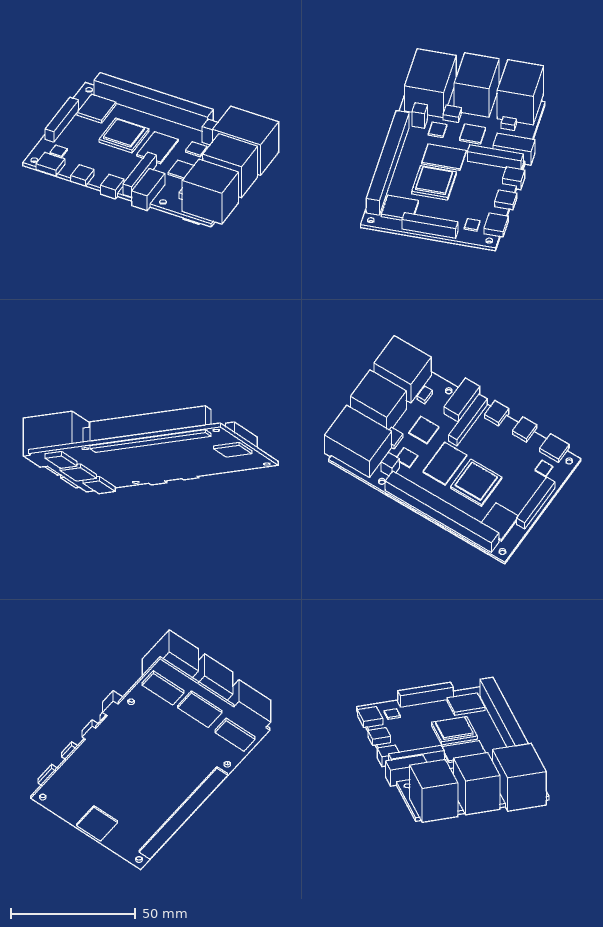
import cadquery as cq


BOARD_LENGTH = 85.0
BOARD_WIDTH = 56.1
BOARD_THICKNESS = 1.8
HOLE_DIAMETER = 2.7
HOLE_INSET = 3.5
HOLE_SPACING_X = 58.0
HOLE_SPACING_Y = 49.0

CHIP_HEIGHT = 0.9
THICK_CHIP_HEIGHT = 1.5
LOW_PART_HEIGHT = 3.0
RIBBON_HEIGHT = 5.5
HEADER_HEIGHT = 8.4

HEADER_LENGTH = 51.2
HEADER_WIDTH = 5.5
HEADER_X = 6.9
HEADER_Y = 49.8
HEADER_TAIL_DEPTH = 1.25

POWER_HEADER_SIDE = 5.25
POWER_HEADER_X = 58.9
POWER_HEADER_Y = 43.7

PROCESSOR_SIDE = 14.95
PROCESSOR_X = 21.7
PROCESSOR_Y = 25.1
LID_SIDE = 12.3
LID_HEIGHT = 0.9

RIBBON_LENGTH = 22.25
RIBBON_WIDTH = 4.0
DISPLAY_RIBBON_X = 1.5
DISPLAY_RIBBON_Y = 16.9
CAMERA_RIBBON_X = 44.95
CAMERA_RIBBON_Y = 0.4

VIDEO_LENGTH = 6.8
VIDEO_WIDTH = 7.65
VIDEO_OVERHANG = 1.8
LEFT_VIDEO_X = 22.5
VIDEO_SPACING = 13.4
AUDIO_LENGTH = 7.0
AUDIO_WIDTH = 15.75
AUDIO_X = 50.4
AUDIO_OVERHANG = 2.5
AUDIO_HEIGHT = 6.05
POWER_SOCKET_LENGTH = 9.1
POWER_SOCKET_WIDTH = 8.0
POWER_SOCKET_X = 6.7
POWER_SOCKET_OVERHANG = 1.5

NETWORK_X = 66.6
NETWORK_Y = 37.65
NETWORK_LENGTH = 21.7
NETWORK_WIDTH = 16.3
NETWORK_HEIGHT = 14.4
USB_X = 71.1
USB_HEIGHT = 16.4
FRONT_USB_Y = 1.6
FRONT_USB_LENGTH = 17.9
FRONT_USB_WIDTH = 14.95
REAR_USB_Y = 19.9
REAR_USB_LENGTH = 17.5
REAR_USB_WIDTH = 14.4

TAIL_X = 71.6
TAIL_LENGTH = 7.3
TAIL_DEPTH = 2.0
NETWORK_TAIL_Y = 38.45
NETWORK_TAIL_WIDTH = 14.8
FRONT_USB_TAIL_Y = 1.3
FRONT_USB_TAIL_WIDTH = 15.6
REAR_USB_TAIL_Y = 19.4
REAR_USB_TAIL_WIDTH = 15.6
REAR_USB_TAIL_LENGTH = 9.1
REAR_USB_TAIL_DEPTH = 1.6

REGULATOR_SIDE = 5.25
REGULATOR_X = 7.4
REGULATOR_Y = 9.5

CARD_X = 1.6
CARD_Y = 22.2
CARD_LENGTH = 11.3
CARD_WIDTH = 12.2
CARD_DEPTH = 1.25


def block(x, y, bottom, length, width, height):
    """Box with its low corner at (x, y, bottom)."""
    return cq.Workplane("XY").box(length, width, height, centered=False).translate((x, y, bottom))


def on_top(x, y, length, width, height):
    """Box standing on the board's upper face."""
    return block(x, y, BOARD_THICKNESS, length, width, height)


def through_edge(x, y, length, width, height):
    """Box reaching from the board's underside to the given height above its upper face."""
    return block(x, y, 0, length, width, BOARD_THICKNESS + height)


def underneath(x, y, length, width, depth):
    """Box hanging from the board's underside."""
    return block(x, y, -depth, length, width, depth)


def video_socket_x(index):
    return LEFT_VIDEO_X + index * VIDEO_SPACING


def bare_board():
    hole_centre = (HOLE_INSET + HOLE_SPACING_X / 2, HOLE_INSET + HOLE_SPACING_Y / 2)
    holes = (
        cq.Workplane("XY")
        .center(*hole_centre)
        .rarray(HOLE_SPACING_X, HOLE_SPACING_Y, 2, 2)
        .circle(HOLE_DIAMETER / 2)
        .extrude(BOARD_THICKNESS)
    )
    return block(0, 0, 0, BOARD_LENGTH, BOARD_WIDTH, BOARD_THICKNESS).cut(holes)


def headers():
    return [
        on_top(HEADER_X, HEADER_Y, HEADER_LENGTH, HEADER_WIDTH, HEADER_HEIGHT),
        underneath(HEADER_X, HEADER_Y, HEADER_LENGTH, HEADER_WIDTH, HEADER_TAIL_DEPTH),
        on_top(POWER_HEADER_X, POWER_HEADER_Y, POWER_HEADER_SIDE, POWER_HEADER_SIDE, HEADER_HEIGHT),
    ]


def processor():
    lid_inset = (PROCESSOR_SIDE - LID_SIDE) / 2
    package = on_top(PROCESSOR_X, PROCESSOR_Y, PROCESSOR_SIDE, PROCESSOR_SIDE, THICK_CHIP_HEIGHT)
    lid = on_top(
        PROCESSOR_X + lid_inset,
        PROCESSOR_Y + lid_inset,
        LID_SIDE,
        LID_SIDE,
        THICK_CHIP_HEIGHT + LID_HEIGHT,
    )
    return [package, lid]


def chips():
    radio = on_top(x=6.3, y=36.1, length=11.0, width=12.8, height=THICK_CHIP_HEIGHT)
    memory = on_top(x=39.2, y=24.2, length=10.8, width=15.9, height=CHIP_HEIGHT)
    network_chip = on_top(x=55.5, y=35.2, length=6.8, width=6.1, height=CHIP_HEIGHT)
    usb_chip = on_top(x=55.5, y=19.7, length=8.8, width=8.8, height=CHIP_HEIGHT)
    transformer = on_top(x=65.3, y=31.2, length=5.6, width=6.4, height=LOW_PART_HEIGHT)
    capacitor = on_top(x=66.2, y=8.3, length=3.7, width=5.5, height=LOW_PART_HEIGHT)
    return [radio, memory, network_chip, usb_chip, transformer, capacitor]


def ribbon_connectors():
    corners = [(DISPLAY_RIBBON_X, DISPLAY_RIBBON_Y), (CAMERA_RIBBON_X, CAMERA_RIBBON_Y)]
    return [on_top(x, y, RIBBON_WIDTH, RIBBON_LENGTH, RIBBON_HEIGHT) for x, y in corners]


def front_edge_sockets():
    right_video = through_edge(
        video_socket_x(1), -VIDEO_OVERHANG, VIDEO_LENGTH, VIDEO_WIDTH, LOW_PART_HEIGHT
    )
    audio = through_edge(AUDIO_X, -AUDIO_OVERHANG, AUDIO_LENGTH, AUDIO_WIDTH, AUDIO_HEIGHT)
    return [right_video, audio]


def right_edge_sockets():
    return [
        through_edge(NETWORK_X, NETWORK_Y, NETWORK_LENGTH, NETWORK_WIDTH, NETWORK_HEIGHT),
        on_top(USB_X, FRONT_USB_Y, FRONT_USB_LENGTH, FRONT_USB_WIDTH, USB_HEIGHT),
        on_top(USB_X, REAR_USB_Y, REAR_USB_LENGTH, REAR_USB_WIDTH, USB_HEIGHT),
    ]


def right_edge_solder_tails():
    return [
        underneath(TAIL_X, NETWORK_TAIL_Y, TAIL_LENGTH, NETWORK_TAIL_WIDTH, TAIL_DEPTH),
        underneath(TAIL_X, FRONT_USB_TAIL_Y, TAIL_LENGTH, FRONT_USB_TAIL_WIDTH, TAIL_DEPTH),
        underneath(
            TAIL_X, REAR_USB_TAIL_Y, REAR_USB_TAIL_LENGTH, REAR_USB_TAIL_WIDTH, REAR_USB_TAIL_DEPTH
        ),
    ]


def populated_board():
    """Board and the components that are one solid with it."""
    components = [
        *headers(),
        *processor(),
        *chips(),
        *ribbon_connectors(),
        *front_edge_sockets(),
        *right_edge_sockets(),
        *right_edge_solder_tails(),
    ]
    board_with_parts = bare_board()
    for component in components:
        board_with_parts = board_with_parts.union(component)
    return board_with_parts


board = populated_board()
power_socket = on_top(
    POWER_SOCKET_X, -POWER_SOCKET_OVERHANG, POWER_SOCKET_LENGTH, POWER_SOCKET_WIDTH, LOW_PART_HEIGHT
)
left_video_socket = on_top(
    video_socket_x(0), -VIDEO_OVERHANG, VIDEO_LENGTH, VIDEO_WIDTH, LOW_PART_HEIGHT
)
regulator = on_top(REGULATOR_X, REGULATOR_Y, REGULATOR_SIDE, REGULATOR_SIDE, CHIP_HEIGHT)
memory_card = underneath(CARD_X, CARD_Y, CARD_LENGTH, CARD_WIDTH, CARD_DEPTH)

result = cq.Compound.makeCompound(
    [
        board.val(),
        power_socket.val(),
        left_video_socket.val(),
        regulator.val(),
        memory_card.val(),
    ]
)